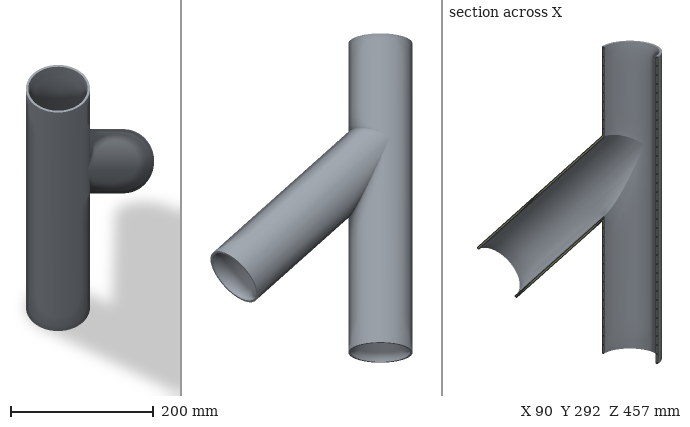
import cadquery as cq
import math

outer_diameter = 90.0
bore_diameter = 83.0
main_length = 457.0

branch_angle = 45.0
junction_height = 305.5
overall_depth = 292.0

pipe_radius = outer_diameter / 2
lean = math.radians(branch_angle)
tip_reach = overall_depth - pipe_radius
branch_length = (tip_reach - pipe_radius * math.cos(lean)) / math.sin(lean)

branch_plane = cq.Plane(
    origin=(0, 0, junction_height),
    xDir=(1, 0, 0),
    normal=(0, math.sin(lean), -math.cos(lean)),
)


def main_cylinder(diameter):
    return cq.Workplane("XY").circle(diameter / 2).extrude(main_length)


def branch_cylinder(diameter):
    return cq.Workplane(branch_plane).circle(diameter / 2).extrude(branch_length)


outside = main_cylinder(outer_diameter).union(branch_cylinder(outer_diameter))
result = outside.cut(main_cylinder(bore_diameter)).cut(branch_cylinder(bore_diameter))